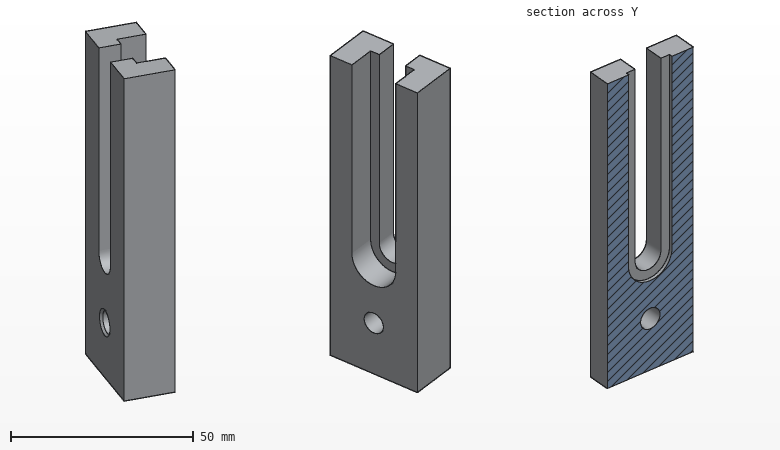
import cadquery as cq

width = 30.0
depth = 15.0
height = 100.0

slot_width = 9.0
slot_center_z = 37.0
recess_width = 15.0
recess_depth = 8.5

hole_diameter = 6.6
hole_z = 17.0
countersink_diameter = 8.0
countersink_depth = (countersink_diameter - hole_diameter) / 2


def open_slot(slot_size, start_y, length_y):
    """Round-bottomed slot running out of the top of the bar."""
    radius = slot_size / 2
    return (
        cq.Workplane("XZ", origin=(0, start_y, 0))
        .moveTo(-radius, height)
        .lineTo(-radius, slot_center_z)
        .threePointArc((0, slot_center_z - radius), (radius, slot_center_z))
        .lineTo(radius, height)
        .close()
        .extrude(-length_y)
    )


def front_countersink():
    """Cone narrowing from the front face to the hole diameter."""
    return cq.Workplane(
        cq.Solid.makeCone(
            countersink_diameter / 2,
            hole_diameter / 2,
            countersink_depth,
            pnt=cq.Vector(0, 0, hole_z),
            dir=cq.Vector(0, 1, 0),
        )
    )


bar = cq.Workplane("XY").box(width, depth, height, centered=(True, False, False))
slot = open_slot(slot_width, 0, depth)
recess = open_slot(recess_width, depth - recess_depth, recess_depth)
hole = (
    cq.Workplane("XZ")
    .center(0, hole_z)
    .circle(hole_diameter / 2)
    .extrude(-depth)
)

result = bar.cut(slot).cut(recess).cut(hole).cut(front_countersink())